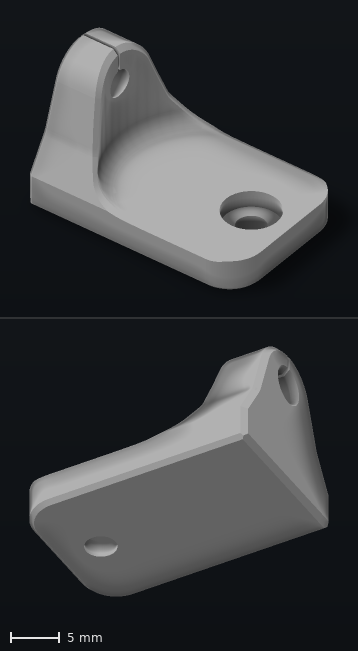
import cadquery as cq
import math

length = 27.0
width = 18.0
height = 16.77
plate_height = 3.97
half_width = width / 2
chamfer = 0.6
base_chamfer = 0.49
corner_radius = 4.0

crown_radius = 4.85
kink_y = 6.45
kink_z = 8.07
kink_fillet = 2.97

floor_start_x = 7.02
floor_radius = 8.96
floor_fillet = 2.0

clamp_z = 12.47
clamp_diameter = 3.19
clamp_countersink = 0.62
slit_width = 0.4

mount_x = 22.0
mount_diameter = 3.4
counterbore_diameter = 6.5
counterbore_depth = 2.0


def upright_prism():
    """Rounded crown on flanks that keep sloping outward down to the base."""
    crown_z = height - crown_radius
    reach = math.hypot(kink_y, kink_z - crown_z)
    tangent_angle = math.atan2(kink_z - crown_z, kink_y) + math.acos(crown_radius / reach)
    tangent_y = crown_radius * math.cos(tangent_angle)
    tangent_z = crown_z + crown_radius * math.sin(tangent_angle)
    flank_run = (half_width - kink_y) / (kink_z - plate_height)
    base_y = kink_y + flank_run * kink_z
    prism = (
        cq.Workplane("YZ")
        .moveTo(-base_y, 0)
        .lineTo(-kink_y, kink_z)
        .lineTo(-tangent_y, tangent_z)
        .threePointArc((0, height), (tangent_y, tangent_z))
        .lineTo(kink_y, kink_z)
        .lineTo(base_y, 0)
        .close()
        .extrude(length)
    )
    for kink_side in (-kink_y, kink_y):
        kink_midpoint = (length / 2, kink_side, kink_z)
        prism = prism.edges(cq.NearestToPointSelector(kink_midpoint)).fillet(kink_fillet)
    return prism


def recess():
    """Round-fronted cutter, filleted where its wall meets the plate."""
    wall_radius = floor_radius + floor_fillet
    center_x = floor_start_x + floor_radius
    cutter = (
        cq.Workplane("XY", origin=(0, 0, plate_height))
        .moveTo(center_x, -wall_radius)
        .threePointArc((center_x - wall_radius, 0), (center_x, wall_radius))
        .lineTo(2 * length, wall_radius)
        .lineTo(2 * length, -wall_radius)
        .close()
        .extrude(height)
    )
    return cutter.faces("<Z").edges("not >X").fillet(floor_fillet)


def upright_with_plate():
    """Recessed prism; the chamfer runs along the whole rim from its crown edge."""
    body = upright_prism().cut(recess())
    crown_front = (floor_start_x - floor_fillet, 0, height)
    return body.edges(cq.NearestToPointSelector(crown_front)).chamfer(chamfer)


def envelope():
    """Block that trims the sloping flanks, with two rounded corners."""
    block = cq.Workplane("XY").box(length, width, height, centered=(False, True, False))
    return block.edges("|Z and >X").fillet(corner_radius)


def clamp_cutter():
    """Through hole with a conical mouth, opened to the crown by a slit."""
    axis_plane = cq.Workplane("YZ", origin=(0, 0, clamp_z))
    hole = axis_plane.circle(clamp_diameter / 2).extrude(length)
    mouth_radius = clamp_diameter / 2 + clamp_countersink
    mouth = cq.Workplane(
        cq.Solid.makeCone(
            mouth_radius,
            clamp_diameter / 2,
            clamp_countersink,
            pnt=cq.Vector(0, 0, clamp_z),
            dir=cq.Vector(1, 0, 0),
        )
    )
    slit = cq.Workplane("XY", origin=(0, 0, clamp_z)).box(
        length, slit_width, height, centered=(False, True, False)
    )
    return hole.union(mouth).union(slit)


body = upright_with_plate().intersect(envelope())
body = body.faces("<X").chamfer(chamfer)
body = body.faces("<Z").edges("not <X").chamfer(base_chamfer)
body = body.cut(clamp_cutter())
result = (
    body.copyWorkplane(cq.Workplane("XY", origin=(mount_x, 0, plate_height)))
    .cboreHole(mount_diameter, counterbore_diameter, counterbore_depth)
)